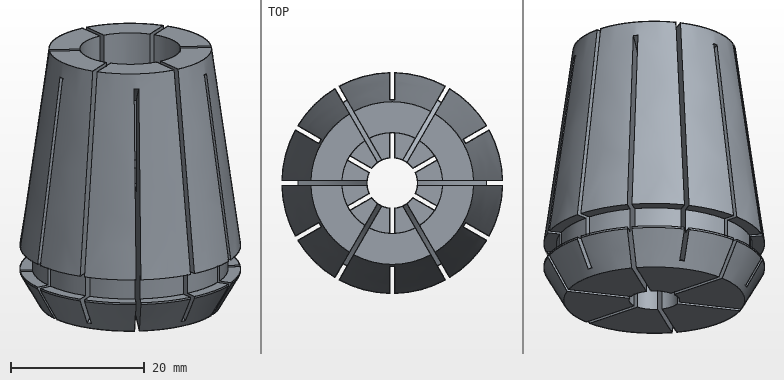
import cadquery as cq
import math

length = 40.0
outer_diameter = 33.0
outer_radius = outer_diameter / 2
taper_angle = 8.0
nose_angle = 30.0

nose_top = 5.15
groove_bottom = 5.45
groove_top = 9.05
groove_radius = 14.65

bore_radius = 3.75
relief_radius = 2 * bore_radius
relief_floor = length / 2

slot_width = 0.7
slots_per_end = 6
slot_pitch = 360.0 / slots_per_end
blade_radius = 24.8
blade_offset = 24.0
blade_lowest = -1.05
blade_highest = 40.55


def collet_body():
    """Revolved collet with a long cone, extraction groove and short nose cone."""
    top_radius = outer_radius - (length - groove_top) * math.tan(math.radians(taper_angle))
    nose_radius = outer_radius - nose_top * math.tan(math.radians(nose_angle))
    return (
        cq.Workplane("XZ")
        .moveTo(bore_radius, 0)
        .lineTo(nose_radius, 0)
        .lineTo(outer_radius, nose_top)
        .lineTo(outer_radius, groove_bottom)
        .lineTo(groove_radius, groove_bottom)
        .lineTo(groove_radius, groove_top)
        .lineTo(outer_radius, groove_top)
        .lineTo(top_radius, length)
        .lineTo(relief_radius, length)
        .lineTo(relief_radius, relief_floor)
        .lineTo(bore_radius, relief_floor)
        .close()
        .revolve(360, (0, 0), (0, 1))
    )


def slot_cutter(open_end, blade_extreme, angle):
    """Radial slot from the axis outwards, from open_end to the arc of the blade."""
    inward = 1 if open_end > blade_extreme else -1
    blade_centre = blade_extreme + inward * blade_radius

    def arc_point(radius):
        rise = math.sqrt(blade_radius**2 - (blade_offset - radius) ** 2)
        return radius, blade_centre - inward * rise

    return (
        cq.Workplane("XZ")
        .moveTo(0, open_end)
        .lineTo(*arc_point(0))
        .threePointArc(arc_point(outer_radius / 2), arc_point(outer_radius))
        .lineTo(outer_radius, open_end)
        .close()
        .extrude(slot_width / 2, both=True)
        .rotate((0, 0, 0), (0, 0, 1), angle)
    )


result = collet_body()
for index in range(slots_per_end):
    top_slot_angle = index * slot_pitch
    bottom_slot_angle = top_slot_angle + slot_pitch / 2
    result = result.cut(slot_cutter(length, blade_lowest, top_slot_angle))
    result = result.cut(slot_cutter(0, blade_highest, bottom_slot_angle))